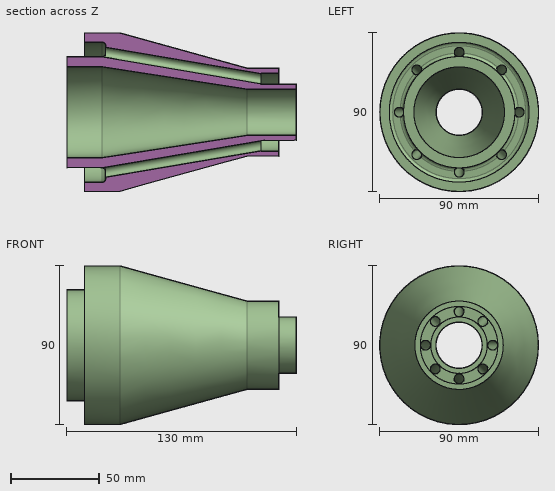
import cadquery as cq

total_length = 130.0
collar_start = 10.0
cone_start = 30.0
cone_end = 102.0
nose_end = 120.0

inlet_diameter = 63.0
collar_diameter = 90.0
nose_diameter = 50.0
outlet_diameter = 32.0

bore_inlet_diameter = 51.4
bore_outlet_diameter = 26.0
bore_taper_start = 20.0
bore_taper_end = cone_end

inlet_groove_diameter = 79.2
inlet_groove_depth = 12.0
groove_fillet = 2.0

outlet_groove_diameter = 44.0
outlet_groove_depth = 10.0

passage_count = 8
passage_diameter = 5.5
passage_inlet_radius = 33.9
passage_outlet_radius = (outlet_diameter + outlet_groove_diameter) / 4
passage_overrun = 2.6


def revolve_profile(points):
    """Revolve (x, radius) points about the X axis."""
    return cq.Workplane("XY").polyline(points).close().revolve(360, (0, 0, 0), (1, 0, 0))


def ring(start, end, outer_diameter, inner_diameter):
    """Annular solid along the X axis."""
    return (
        cq.Workplane("YZ", origin=(start, 0, 0))
        .circle(outer_diameter / 2)
        .circle(inner_diameter / 2)
        .extrude(end - start)
    )


def make_outer_body():
    return revolve_profile([
        (0, 0),
        (0, inlet_diameter / 2),
        (collar_start, inlet_diameter / 2),
        (collar_start, collar_diameter / 2),
        (cone_start, collar_diameter / 2),
        (cone_end, nose_diameter / 2),
        (nose_end, nose_diameter / 2),
        (nose_end, outlet_diameter / 2),
        (total_length, outlet_diameter / 2),
        (total_length, 0),
    ])


def make_bore():
    return revolve_profile([
        (0, 0),
        (0, bore_inlet_diameter / 2),
        (bore_taper_start, bore_inlet_diameter / 2),
        (bore_taper_end, bore_outlet_diameter / 2),
        (total_length, bore_outlet_diameter / 2),
        (total_length, 0),
    ])


inlet_floor = collar_start + inlet_groove_depth
outlet_floor = nose_end - outlet_groove_depth

inlet_groove = ring(collar_start, inlet_floor, inlet_groove_diameter, inlet_diameter)
inlet_groove = inlet_groove.faces(">X").edges().fillet(groove_fillet)
outlet_groove = ring(outlet_floor, nose_end, outlet_groove_diameter, outlet_diameter)

result = make_outer_body().cut(make_bore()).cut(inlet_groove).cut(outlet_groove)

passage_direction = cq.Vector(
    outlet_floor - inlet_floor, 0, passage_outlet_radius - passage_inlet_radius
)
passage_start = (
    cq.Vector(inlet_floor, 0, passage_inlet_radius)
    - passage_direction.normalized() * passage_overrun
)
passage = cq.Solid.makeCylinder(
    passage_diameter / 2,
    passage_direction.Length + 2 * passage_overrun,
    passage_start,
    passage_direction,
)
for index in range(passage_count):
    angle = index * 360 / passage_count
    result = result.cut(cq.Workplane(passage.rotate(cq.Vector(0, 0, 0), cq.Vector(1, 0, 0), angle)))